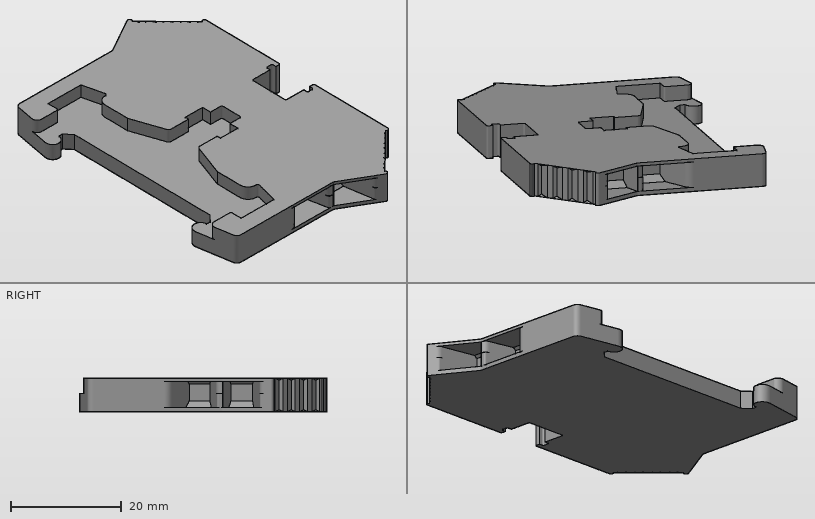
import cadquery as cq
import math

length = 66.75
height = 44.6
thickness = 6.1
base_thickness = 3.35

half_length = length / 2
half_body = 28.5
shoulder_y = 25.9
corner_radius = 2.15 / 2
slope_top = (23.6, 43.75)
slope_run = 8.9
half_top = 23.86
nose_chamfer = 0.3
bead_radius = 0.5
bead_y = 34.55

half_notch = 4.33
notch_floor_y = 37.5
nick_depth = 1.0
nick_top_y = 43.5
nick_bottom_y = 42.05
notch_radius = 0.3

rail_y = 5.46
half_rail_flat = 17.45
half_rail_throat = 19.05
throat_top_y = 4.05
hook_radius = 1.55
foot_start_x = 19.4
foot_angle = math.radians(10)

half_tee_top = 2.5
half_tee_bar = 4.53
half_neck = 3.7
tee_top_y = 28.05
tee_shoulder_y = 25.2
tee_bottom_y = 20.8
neck_end_y = 15.95
recess_flat_y = 13.15
half_flat_start = 11.55
half_lug = 19.4
lug_radius = 2.0
lug_tip_y = 15.75
half_recess = 24.87
recess_side_top_y = 14.4
recess_side_bottom_y = 6.1
half_foot_gap = 22.25
foot_gap_radius = 0.3
foot_radius = 1.2
neck_radius = 0.75
inner_radius = 0.4

groove_count = 4
groove_first_y = 43.3
groove_pitch_y = 2.21
groove_flat_y = 0.7
groove_width_y = 1.4
groove_end_run = 0.42

pocket_floor_z = 0.8
pocket_roof_z = 5.5
throat_floor_z = 2.0
throat_roof_z = 5.0
floor_ramp_run = 1.2
roof_ramp_run = 0.5
flared_mouth_y = 32.6
flared_back_x = 24.2
flared_back_y = (31.2, 27.3)
straight_mouth_y = (24.85, 16.3)
straight_back_x = 22.0
straight_back_y = (23.5, 19.8)
base_lip_radius = 0.4
lower_lip_radius = 1.6
lip_run = 0.95
lower_lip_run = 1.2
clearance = 5.0


def mirrored(solid):
    """Return the solid joined with its reflection in the YZ plane."""
    return solid.union(solid.mirror("YZ"))


def fillet_upright(solid, radius, points, z):
    """Round the upright edges whose middles lie at the given plan points."""
    for x, y in points:
        edge = cq.selectors.NearestToPointSelector((x, y, z))
        solid = solid.edges("|Z").edges(edge).fillet(radius)
    return solid


def foot_y(x):
    """Height of the sloping foot line at a given X."""
    return math.tan(foot_angle) * (x - foot_start_x)


bead_x = half_length - bead_radius
bead_distance = math.hypot(bead_x - half_body, bead_y - shoulder_y)
flare_angle = (math.atan2(bead_y - shoulder_y, bead_x - half_body)
               - math.asin(bead_radius / bead_distance))


def flare_x(y):
    """Half width of the flared side at a given Y."""
    return half_body + (y - shoulder_y) / math.tan(flare_angle)


def make_body():
    """Full-thickness housing with the top notch and the rail opening."""
    slope_end = (slope_top[0] + slope_run, slope_top[1] - slope_run)
    tangent = (bead_x + bead_radius * math.sin(flare_angle),
               bead_y - bead_radius * math.cos(flare_angle))
    half = (
        cq.Workplane("XY")
        .moveTo(0, notch_floor_y)
        .lineTo(half_notch, notch_floor_y)
        .lineTo(half_notch, nick_bottom_y)
        .lineTo(half_notch + nick_depth, nick_bottom_y)
        .lineTo(half_notch + nick_depth, nick_top_y)
        .lineTo(half_notch, nick_top_y)
        .lineTo(half_notch, height)
        .lineTo(half_top - nose_chamfer, height)
        .lineTo(half_top, height - nose_chamfer)
        .lineTo(half_top, slope_top[1] + half_top - slope_top[0])
        .lineTo(*slope_top)
        .lineTo(*slope_end)
        .threePointArc((half_length, bead_y), tangent)
        .lineTo(half_body, shoulder_y)
        .lineTo(half_body, foot_y(half_body))
        .lineTo(foot_start_x, 0)
        .lineTo(half_rail_throat, 0)
        .threePointArc((half_rail_throat - hook_radius, hook_radius), (half_rail_throat, 2 * hook_radius))
        .lineTo(half_rail_throat, throat_top_y)
        .lineTo(half_rail_flat, rail_y)
        .lineTo(0, rail_y)
        .close()
        .extrude(thickness)
    )
    half = fillet_upright(
        half, corner_radius,
        [(half_body, shoulder_y), (half_body, foot_y(half_body))], thickness / 2)
    half = fillet_upright(
        half, notch_radius,
        [(half_notch, notch_floor_y), (half_notch, height),
         (half_notch + nick_depth, nick_bottom_y), (half_notch + nick_depth, nick_top_y)],
        thickness / 2)
    return mirrored(half)


def make_recess():
    """Space for the rail foot, open to the upper face and between the feet."""
    depth = thickness - base_thickness
    middle_z = base_thickness + depth / 2
    foot_end_x = half_foot_gap + foot_radius
    half = (
        cq.Workplane("XY").workplane(offset=base_thickness)
        .moveTo(0, tee_bottom_y)
        .lineTo(half_neck, tee_bottom_y)
        .lineTo(half_neck, neck_end_y)
        .lineTo(half_flat_start, recess_flat_y)
        .lineTo(half_lug - lug_radius, recess_flat_y)
        .radiusArc((half_lug, recess_flat_y + lug_radius), -lug_radius)
        .lineTo(half_lug, lug_tip_y)
        .lineTo(half_recess, recess_side_top_y)
        .lineTo(half_recess, recess_side_bottom_y)
        .lineTo(half_foot_gap, recess_side_bottom_y)
        .lineTo(half_foot_gap, foot_y(half_foot_gap) + foot_radius)
        .radiusArc((foot_end_x, foot_y(foot_end_x)), -foot_radius)
        .lineTo(foot_end_x, -clearance)
        .lineTo(0, -clearance)
        .close()
        .extrude(depth)
    )
    half = fillet_upright(half, foot_gap_radius, [(half_foot_gap, recess_side_bottom_y)], middle_z)
    half = fillet_upright(half, neck_radius, [(half_neck, neck_end_y)], middle_z)
    half = fillet_upright(half, inner_radius, [(half_lug, lug_tip_y)], middle_z)
    return mirrored(half)


def make_tee():
    """T-shaped head of the recess, level with its floor."""
    half = (
        cq.Workplane("XY").workplane(offset=base_thickness)
        .moveTo(0, tee_top_y)
        .lineTo(half_tee_top, tee_top_y)
        .lineTo(half_tee_top, tee_shoulder_y)
        .lineTo(half_tee_bar, tee_shoulder_y)
        .lineTo(half_tee_bar, tee_bottom_y)
        .lineTo(0, tee_bottom_y)
        .close()
        .extrude(thickness - base_thickness)
    )
    middle_z = (base_thickness + thickness) / 2
    half = fillet_upright(half, inner_radius, [(half_tee_top, tee_top_y)], middle_z)
    return mirrored(half)


def make_groove(start_y):
    """V groove across the slope; its ends run out at the two flat faces."""
    start_x = slope_top[0] + slope_top[1] - start_y
    deepest = (start_x, start_y - groove_flat_y)
    finish = (start_x + groove_width_y, start_y - groove_width_y)
    plan_corners = [(start_x, start_y), finish]
    base_start, base_finish = [cq.Vector(*corner, 0) for corner in plan_corners]
    top_start, top_finish = [cq.Vector(*corner, thickness) for corner in plan_corners]
    deep_top = cq.Vector(*deepest, thickness - groove_end_run)
    deep_base = cq.Vector(*deepest, groove_end_run)
    loops = [
        [base_start, base_finish, top_finish, top_start],
        [base_start, top_start, deep_top, deep_base],
        [base_finish, deep_base, deep_top, top_finish],
        [top_start, top_finish, deep_top],
        [base_start, deep_base, base_finish],
    ]
    faces = [cq.Face.makeFromWires(cq.Wire.makePolygon(loop, close=True)) for loop in loops]
    return cq.Workplane(cq.Solid.makeSolid(cq.Shell.makeShell(faces)))


def pocket_profile(back_x):
    """Side profile of a wire entry: level at the mouth, tapering to a throat."""
    mouth_x = half_length + clearance
    return (
        cq.Workplane("XZ", origin=(0, height, 0))
        .moveTo(mouth_x, pocket_floor_z)
        .lineTo(back_x + floor_ramp_run, pocket_floor_z)
        .lineTo(back_x, throat_floor_z)
        .lineTo(back_x, throat_roof_z)
        .lineTo(back_x + roof_ramp_run, pocket_roof_z)
        .lineTo(mouth_x, pocket_roof_z)
        .close()
        .extrude(height)
    )


def flared_side_pocket(upper_lip_radius, z_low, z_high):
    """Plan of the entry through the flared side over one range of Z."""
    lip = (flare_x(flared_mouth_y), flared_mouth_y)
    lip_end_y = flared_mouth_y + lip_run
    plan = (
        cq.Workplane("XY").workplane(offset=z_low)
        .moveTo(flared_back_x, flared_back_y[0])
        .lineTo(*lip)
        .lineTo(flare_x(lip_end_y), lip_end_y)
        .lineTo(half_length + clearance, lip_end_y)
        .lineTo(half_length + clearance, shoulder_y)
        .lineTo(half_body, shoulder_y)
        .lineTo(flared_back_x, flared_back_y[1])
        .close()
        .extrude(z_high - z_low)
    )
    return fillet_upright(plan, upper_lip_radius, [lip], (z_low + z_high) / 2)


def straight_side_pocket(upper_lip_radius, z_low, z_high):
    """Plan of the entry through the straight side over one range of Z."""
    upper_lip = (half_body, straight_mouth_y[0])
    lower_lip = (half_body, straight_mouth_y[1])
    lip_end_y = (upper_lip[1] + lip_run, lower_lip[1] - lower_lip_run)
    plan = (
        cq.Workplane("XY").workplane(offset=z_low)
        .moveTo(straight_back_x, straight_back_y[0])
        .lineTo(*upper_lip)
        .lineTo(half_body, lip_end_y[0])
        .lineTo(half_body + clearance, lip_end_y[0])
        .lineTo(half_body + clearance, lip_end_y[1])
        .lineTo(half_body, lip_end_y[1])
        .lineTo(*lower_lip)
        .lineTo(straight_back_x, straight_back_y[1])
        .close()
        .extrude(z_high - z_low)
    )
    middle_z = (z_low + z_high) / 2
    plan = fillet_upright(plan, upper_lip_radius, [upper_lip], middle_z)
    return fillet_upright(plan, lower_lip_radius, [lower_lip], middle_z)


def make_pocket(make_plan, back_x):
    """Wire entry whose upper lip is rounder above the base level than below it."""
    plan = make_plan(base_lip_radius, 0, base_thickness)
    plan = plan.union(make_plan(corner_radius, base_thickness, thickness))
    return mirrored(plan.intersect(pocket_profile(back_x)))


result = make_body().cut(make_recess()).cut(make_tee())
result = result.cut(make_pocket(flared_side_pocket, flared_back_x))
result = result.cut(make_pocket(straight_side_pocket, straight_back_x))
for index in range(groove_count):
    groove = make_groove(groove_first_y - index * groove_pitch_y)
    result = result.cut(groove).cut(groove.mirror("YZ"))